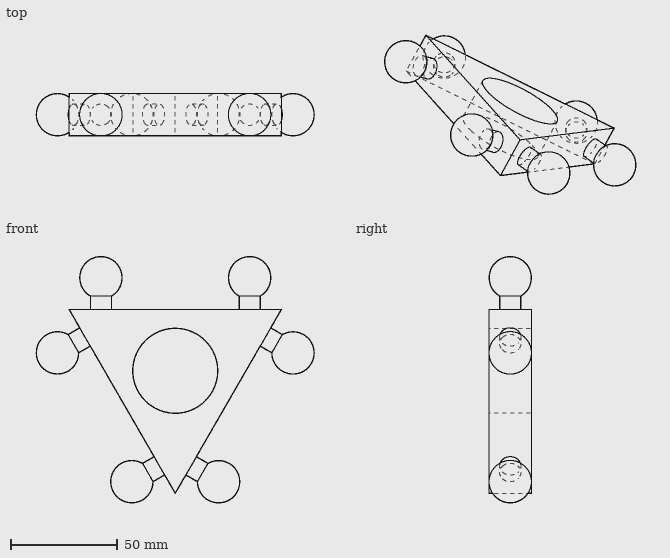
import cadquery as cq
import math

overall_width = 131.0
edge_length = 100.0
thickness = 20.0
bore_diameter = 40.0
ball_diameter = thickness
neck_diameter = ball_diameter / 2
ball_spacing = 70.0

side_count = 3
turn = 360 / side_count
inradius = edge_length / (2 * math.sqrt(3))
circumradius = 2 * inradius

edge_tilt = math.radians(30)
widest_center_x = (overall_width - ball_diameter) / 2
ball_center_distance = (
    widest_center_x - ball_spacing / 2 * math.sin(edge_tilt)
) / math.cos(edge_tilt)
neck_length = ball_center_distance - inradius


def make_plate():
    """Triangular plate with a round bore through its centre."""
    corners = [
        (-edge_length / 2, inradius),
        (edge_length / 2, inradius),
        (0, -circumradius),
    ]
    back = cq.Workplane("XZ", origin=(0, thickness / 2, 0))
    plate = back.polyline(corners).close().extrude(thickness)
    bore = back.circle(bore_diameter / 2).extrude(thickness)
    return plate.cut(bore)


def make_ball_stud(x):
    """Ball on a cylindrical neck, standing on the +Z edge face."""
    neck = (
        cq.Workplane("XY", origin=(x, 0, inradius))
        .circle(neck_diameter / 2)
        .extrude(neck_length)
    )
    ball = cq.Workplane("XY", origin=(x, 0, ball_center_distance)).sphere(ball_diameter / 2)
    return neck.union(ball)


result = make_plate()
for side in range(side_count):
    for x in (-ball_spacing / 2, ball_spacing / 2):
        stud = make_ball_stud(x).rotate((0, 0, 0), (0, 1, 0), side * turn)
        result = result.union(stud)